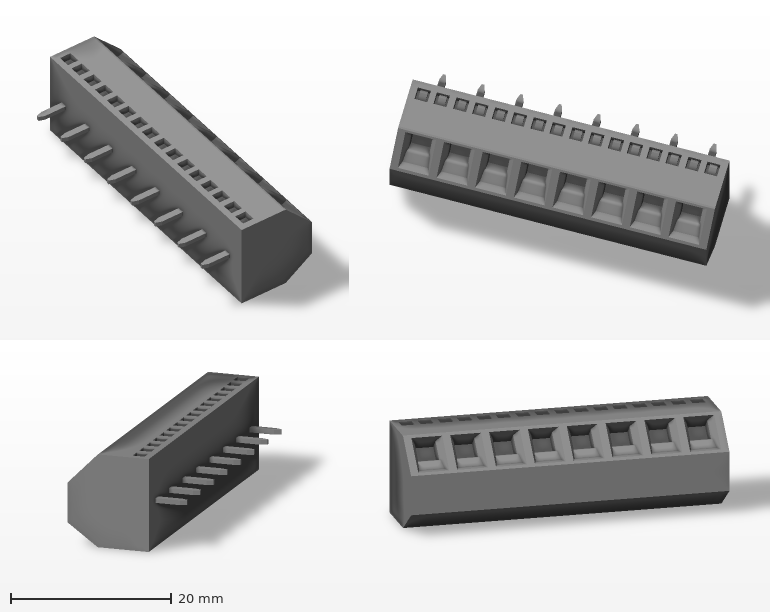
import cadquery as cq
import math


length = 41.0
depth = 10.8
height = 12.0
top_chamfer = 3.98
lip_run = 0.25
lip_drop = 0.06
bottom_chamfer_run = 4.0
bottom_chamfer_rise = 2.85

pole_count = 8
pole_pitch = 5.0
pole_places = [(i - (pole_count - 1) / 2) * pole_pitch for i in range(pole_count)]

pin_width = 0.9
pin_thickness = 0.6
pin_length = 4.0
pin_taper = 0.8
pin_tip_width = 0.33

well_spacing = 2.45
well_width = 1.7
well_length = 1.6
well_depth = 1.0
well_centre_y = 1.7
wedge_width = 1.0
wedge_flat = 0.33
wedge_gap = 0.12
wedge_tilt = math.radians(20)

entry_width = 3.98
entry_depth = 2.85
entry_taper_depth = 1.3
entry_taper = math.radians(26)
entry_low_gap = 0.3
entry_high_gap = 3.77
entry_ledge = 1.0
ramp_run = 1.1
ramp_tilt = math.radians(30)
crest_radius = 0.5
fall_tilt = math.radians(35)


def wire_face_z(y):
    """Height of the 45 degree wire face at a given Y."""
    return height - lip_drop - top_chamfer + depth - y


def make_housing():
    profile = [
        (0, 0),
        (depth - bottom_chamfer_run, 0),
        (depth, bottom_chamfer_rise),
        (depth, wire_face_z(depth)),
        (depth - top_chamfer, height - lip_drop),
        (depth - top_chamfer - lip_run, height),
        (0, height),
    ]
    return cq.Workplane("YZ").polyline(profile).close().extrude(length / 2, both=True)


def make_pin(x):
    shoulder = pin_taper - pin_length
    outline = [
        (x - pin_width / 2, 0),
        (x - pin_width / 2, shoulder),
        (x - pin_tip_width / 2, -pin_length),
        (x + pin_tip_width / 2, -pin_length),
        (x + pin_width / 2, shoulder),
        (x + pin_width / 2, 0),
    ]
    level = cq.Workplane("XY").workplane(offset=height / 2)
    return level.polyline(outline).close().extrude(pin_thickness / 2, both=True)


def make_well(x):
    """Cutter for a square well that leaves a sloping wedge standing on its floor."""
    floor = height - well_depth
    front = well_centre_y - well_length / 2
    well = cq.Workplane("XY").box(well_width, well_length, well_depth, centered=(True, True, False))
    well = well.translate((x, well_centre_y, floor))
    slope_run = well_length - wedge_flat - wedge_gap
    flat_end = front + wedge_flat
    crest = floor + slope_run * math.tan(wedge_tilt)
    side = [(front, floor), (front, crest), (flat_end, crest), (flat_end + slope_run, floor)]
    wedge = cq.Workplane("YZ").polyline(side).close().extrude(wedge_width / 2, both=True)
    return well.cut(wedge.translate((x, 0, 0)))


def make_entry():
    """Cutter for one wire entry at X = 0: a side profile limited by tapering side walls."""
    low_y = depth - entry_low_gap
    high_y = depth - entry_high_gap
    ledge_z = wire_face_z(low_y)
    ramp_y = low_y - entry_ledge
    crest_y = ramp_y - ramp_run
    crest_z = ledge_z + ramp_run * math.tan(ramp_tilt)
    axis_y = crest_y - crest_radius * math.sin(ramp_tilt)
    axis_z = crest_z - crest_radius * math.cos(ramp_tilt)

    def crest_point(tilt):
        return (axis_y + crest_radius * math.sin(tilt), axis_z + crest_radius * math.cos(tilt))

    fall_y, fall_z = crest_point(-fall_tilt)
    depth_drop = entry_depth * math.sqrt(2)
    fall_run = (depth_drop - (wire_face_z(fall_y) - fall_z)) / (1 + math.tan(fall_tilt))
    side = (
        cq.Workplane("YZ")
        .moveTo(low_y, ledge_z)
        .lineTo(ramp_y, ledge_z)
        .lineTo(crest_y, crest_z)
        .threePointArc(crest_point((ramp_tilt - fall_tilt) / 2), (fall_y, fall_z))
        .lineTo(fall_y - fall_run, fall_z - fall_run * math.tan(fall_tilt))
        .lineTo(high_y - depth_drop / 2, wire_face_z(high_y) - depth_drop / 2)
        .lineTo(high_y, wire_face_z(high_y))
        .close()
        .extrude(entry_width / 2, both=True)
    )

    half_mouth = entry_width / 2
    half_throat = half_mouth - entry_taper_depth * math.tan(entry_taper)
    walls = [
        (-half_mouth, 0),
        (half_mouth, 0),
        (half_throat, -entry_taper_depth),
        (half_throat, -entry_depth),
        (-half_throat, -entry_depth),
        (-half_throat, -entry_taper_depth),
    ]
    mouth_y = (low_y + high_y) / 2
    wire_face = cq.Plane(
        origin=(0, mouth_y, wire_face_z(mouth_y)),
        xDir=(1, 0, 0),
        normal=(0, -1, 1),
    )
    funnel = cq.Workplane(wire_face).polyline(walls).close().extrude(entry_width, both=True)
    return side.intersect(funnel)


result = make_housing()
entry = make_entry()
for pole_x in pole_places:
    result = result.union(make_pin(pole_x))
    result = result.cut(entry.translate((pole_x, 0, 0)))
    for well_x in (pole_x - well_spacing / 2, pole_x + well_spacing / 2):
        result = result.cut(make_well(well_x))